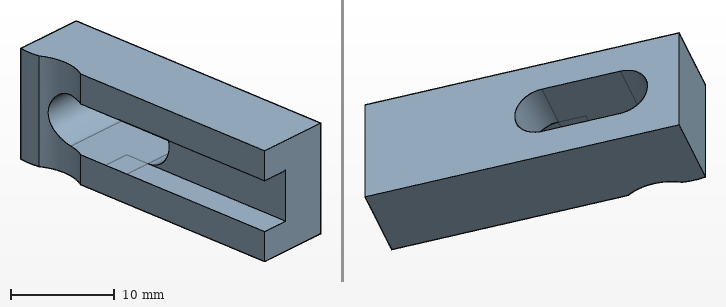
import cadquery as cq

length = 32.0
depth = 8.0
height = 12.0

nose_width = 2.37
nose_rise = 0.1
relief_end = 7.95
relief_apex_x = 5.2
relief_depth = 0.8

slot_start = 3.23
slot_end = 16.75
slot_width = 5.5
groove_start = 11.2
groove_depth = 3.0

front = -depth / 2
back = depth / 2


def make_body():
    """Extrude the plan outline, centred on Z = 0."""
    return (
        cq.Workplane("XY")
        .workplane(offset=-height / 2)
        .moveTo(0, back)
        .lineTo(0, front + nose_rise)
        .threePointArc((nose_width / 2, front), (nose_width, front + nose_rise))
        .threePointArc((relief_apex_x, front + relief_depth), (relief_end, front))
        .lineTo(length, front)
        .lineTo(length, back)
        .close()
        .extrude(height)
    )


def make_slot():
    """Round-ended slot through the full depth."""
    return (
        cq.Workplane("XZ", origin=((slot_start + slot_end) / 2, back, 0))
        .slot2D(slot_end - slot_start, slot_width)
        .extrude(depth)
    )


def make_groove():
    """Open-ended groove in the front face, as wide as the slot."""
    return cq.Workplane("XY", origin=(groove_start, front, 0)).box(
        length - groove_start, groove_depth, slot_width, centered=(False, False, True)
    )


result = make_body().cut(make_slot()).cut(make_groove(), clean=False)